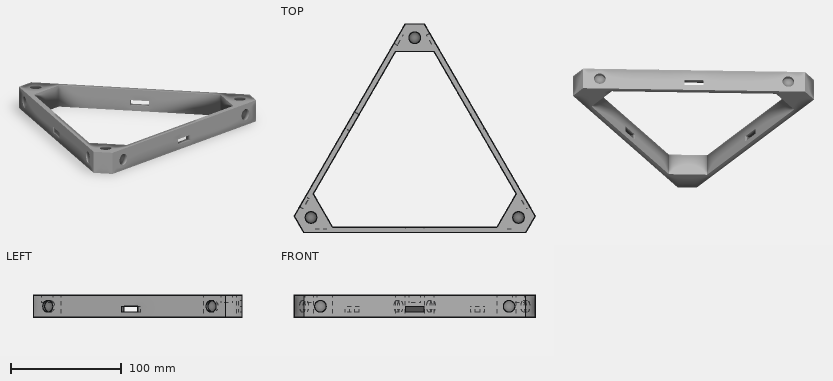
import cadquery as cq
import math

height = 20.0
long_side = 200.0
corner_cut_side = 10.0 * math.sqrt(3)

wall = 5.0
corner_depth = 25.0

hole_diameter = 10.5
top_hole_inset = corner_depth / 2
top_hole_depth = 6.5
side_hole_end_gap = 15.0
side_hole_spacing = long_side - 2 * side_hole_end_gap
side_hole_depth = 3.5

slot_length = 17.0
slot_height = 5.0
slot_bottom_z = 5.0

cut_margin = 1.0
side_count = 3

full_side = long_side + 2 * corner_cut_side
side_distance = full_side / (2 * math.sqrt(3))
corner_distance = 2 * side_distance - corner_cut_side * math.sqrt(3) / 2


def turn_about_z(shape, angle):
    return shape.rotate((0, 0, 0), (0, 0, 1), angle)


def triangle_prism(inradius, corner_angle):
    """Equilateral triangular prism with one corner pointing along corner_angle."""
    circumscribed_diameter = 4 * inradius
    prism = cq.Workplane("XY").polygon(side_count, circumscribed_diameter).extrude(height)
    return turn_about_z(prism, corner_angle)


def cut_corner_prism(side_inradius, cut_inradius):
    """Triangular prism pointing to +Y, trimmed by an opposite one to cut off its corners."""
    return triangle_prism(side_inradius, 90).intersect(triangle_prism(cut_inradius, -90))


def make_frame():
    outside = cut_corner_prism(side_distance, corner_distance)
    opening = cut_corner_prism(side_distance - wall, corner_distance - corner_depth)
    return outside.cut(opening)


def make_top_hole():
    """Blind hole from above in the corner block at +Y."""
    hole_bottom = (0, corner_distance - top_hole_inset, height - top_hole_depth)
    return cq.Workplane("XY", origin=hole_bottom).circle(hole_diameter / 2).extrude(top_hole_depth)


def make_side_holes():
    """Pair of blind holes in the outer face of the -Y side."""
    return (
        cq.Workplane("XZ", origin=(0, -side_distance, height / 2))
        .pushPoints([(-side_hole_spacing / 2, 0), (side_hole_spacing / 2, 0)])
        .circle(hole_diameter / 2)
        .extrude(-side_hole_depth)
    )


def make_slot():
    """Rectangular slot through the wall of the -Y side."""
    slot_center = (0, -side_distance + wall / 2, slot_bottom_z + slot_height / 2)
    return cq.Workplane("XY", origin=slot_center).box(slot_length, wall + 2 * cut_margin, slot_height)


result = make_frame()
for side in range(side_count):
    side_angle = side * 360 / side_count
    for cutter in (make_top_hole(), make_side_holes(), make_slot()):
        result = result.cut(turn_about_z(cutter, side_angle))